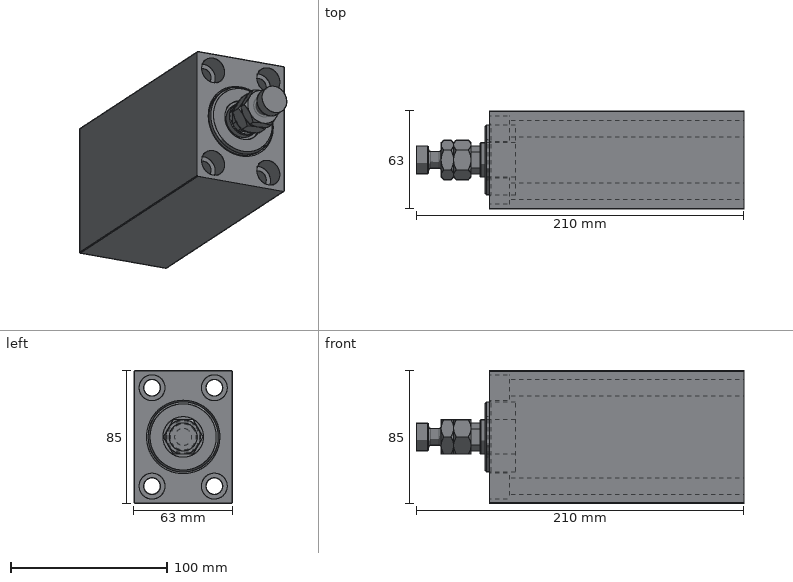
import cadquery as cq
import math


TOTAL_LENGTH = 210.0
ROD_REACH = 46.8
HOUSING_LENGTH = TOTAL_LENGTH - ROD_REACH
HOUSING_WIDTH = 63.0
HOUSING_HEIGHT = 85.0
EDGE_CHAMFER = 0.5

BOLT_SPACING_Y = 40.0
BOLT_SPACING_Z = 63.0
BOLT_HOLE_DIAMETER = 10.5
COUNTERBORE_DIAMETER = 16.5
COUNTERBORE_DEPTH = 13.0

GLAND_DIAMETER = 45.0
GLAND_PROJECTION = 3.0
GLAND_SEAT_DEPTH = 16.8
GLAND_CHAMFER = 1.3
BORE_MOUTH_CHAMFER = 1.0
WIPER_RECESS_DIAMETER = 26.0
WIPER_RECESS_DEPTH = 2.0

ROD_DIAMETER = 22.0
ROD_SHOULDER = 6.0
ROD_CHAMFER = 0.6
ROD_END = 11.8
WRENCH_FLATS = 18.0
WRENCH_NECK_DIAMETER = ROD_DIAMETER - 2 * ROD_CHAMFER

HEAD_DIAMETER = 17.8
HEAD_LENGTH = 8.0
HEAD_CHAMFER = 0.6
NECK_DIAMETER = 11.0
NECK_FILLET = 1.3
HEX_SIDES = 6
HEX_FLATS = 22.0
FRONT_HEX_START = 30.9
HEX_JOINT = 22.9
HEX_CHAMFER_ANGLE = 45.0


def disc(x_start, x_end, diameter):
    """Cylinder on the X axis between two X positions."""
    return cq.Workplane("YZ", origin=(x_start, 0, 0)).circle(diameter / 2).extrude(x_end - x_start)


def bolt_pattern(diameter, depth):
    """Four cylinders on the bolt pattern, going into the housing from its front face."""
    return (
        cq.Workplane("YZ")
        .rect(BOLT_SPACING_Y, BOLT_SPACING_Z, forConstruction=True)
        .vertices()
        .circle(diameter / 2)
        .extrude(depth)
    )


def bore_mouth():
    """Cone that widens the gland bore at the housing face and leaves a groove around the gland."""
    seat_radius = GLAND_DIAMETER / 2
    cone = cq.Solid.makeCone(
        seat_radius + BORE_MOUTH_CHAMFER,
        seat_radius,
        BORE_MOUTH_CHAMFER,
        pnt=cq.Vector(0, 0, 0),
        dir=cq.Vector(1, 0, 0),
    )
    return cq.Workplane(cone)


def make_housing():
    block = cq.Workplane("XY").box(
        HOUSING_LENGTH, HOUSING_WIDTH, HOUSING_HEIGHT, centered=(False, True, True)
    )
    block = block.edges("|X").chamfer(EDGE_CHAMFER)
    bolt_holes = bolt_pattern(BOLT_HOLE_DIAMETER, HOUSING_LENGTH)
    counterbores = bolt_pattern(COUNTERBORE_DIAMETER, COUNTERBORE_DEPTH)
    gland_bore = disc(0, GLAND_SEAT_DEPTH, GLAND_DIAMETER)
    housing = block.cut(bolt_holes).cut(counterbores).cut(gland_bore)
    return housing.cut(bore_mouth())


def make_gland():
    body = disc(-GLAND_PROJECTION, GLAND_SEAT_DEPTH, GLAND_DIAMETER).faces("<X").chamfer(GLAND_CHAMFER)
    rod_bore = disc(-GLAND_PROJECTION, GLAND_SEAT_DEPTH, ROD_DIAMETER)
    recess = disc(-GLAND_PROJECTION, WIPER_RECESS_DEPTH - GLAND_PROJECTION, WIPER_RECESS_DIAMETER)
    return body.cut(rod_bore).cut(recess)


def make_rod():
    shaft = disc(-ROD_SHOULDER, GLAND_SEAT_DEPTH, ROD_DIAMETER).faces("<X").chamfer(ROD_CHAMFER)
    square_bar = (
        cq.Workplane("YZ", origin=(-ROD_END, 0, 0))
        .rect(WRENCH_FLATS, WRENCH_FLATS)
        .extrude(ROD_END - ROD_SHOULDER)
    )
    wrench_neck = disc(-ROD_END, -ROD_SHOULDER, WRENCH_NECK_DIAMETER).intersect(square_bar)
    return shaft.union(wrench_neck)


def make_hexagon(x_start, x_end):
    """Hexagon bar with the corners turned to a cone at both ends."""
    corners = HEX_FLATS / math.cos(math.pi / HEX_SIDES)
    bar = cq.Workplane("YZ", origin=(x_start, 0, 0)).polygon(HEX_SIDES, corners).extrude(x_end - x_start)
    flat_radius = HEX_FLATS / 2
    corner_radius = corners / 2
    axial = (corner_radius - flat_radius) * math.tan(math.radians(HEX_CHAMFER_ANGLE))
    envelope = (
        cq.Workplane("XY")
        .moveTo(x_start, 0)
        .lineTo(x_start, flat_radius)
        .lineTo(x_start + axial, corner_radius)
        .lineTo(x_end - axial, corner_radius)
        .lineTo(x_end, flat_radius)
        .lineTo(x_end, 0)
        .close()
        .revolve(360, (0, 0, 0), (1, 0, 0))
    )
    return bar.intersect(envelope)


def make_coupling():
    head_back = HEAD_LENGTH - ROD_REACH
    head_radius = HEAD_DIAMETER / 2
    neck_radius = NECK_DIAMETER / 2
    fillet_diagonal = NECK_FILLET * (1 - math.sqrt(0.5))
    front_fillet_middle = (head_back + fillet_diagonal, neck_radius + fillet_diagonal)
    rear_fillet_middle = (-FRONT_HEX_START - fillet_diagonal, neck_radius + fillet_diagonal)
    pin = (
        cq.Workplane("XY")
        .moveTo(-ROD_REACH, 0)
        .lineTo(-ROD_REACH, head_radius)
        .lineTo(head_back - HEAD_CHAMFER, head_radius)
        .lineTo(head_back, head_radius - HEAD_CHAMFER)
        .lineTo(head_back, neck_radius + NECK_FILLET)
        .threePointArc(front_fillet_middle, (head_back + NECK_FILLET, neck_radius))
        .lineTo(-FRONT_HEX_START - NECK_FILLET, neck_radius)
        .threePointArc(rear_fillet_middle, (-FRONT_HEX_START, neck_radius + NECK_FILLET))
        .lineTo(-FRONT_HEX_START, 0)
        .close()
        .revolve(360, (0, 0, 0), (1, 0, 0))
    )
    front_hex = make_hexagon(-FRONT_HEX_START, -HEX_JOINT)
    rear_hex = make_hexagon(-HEX_JOINT, -ROD_END)
    return pin.union(front_hex).union(rear_hex)


housing = make_housing()
gland = make_gland()
rod = make_rod()
coupling = make_coupling()

result = cq.Compound.makeCompound([housing.val(), gland.val(), rod.val(), coupling.val()])